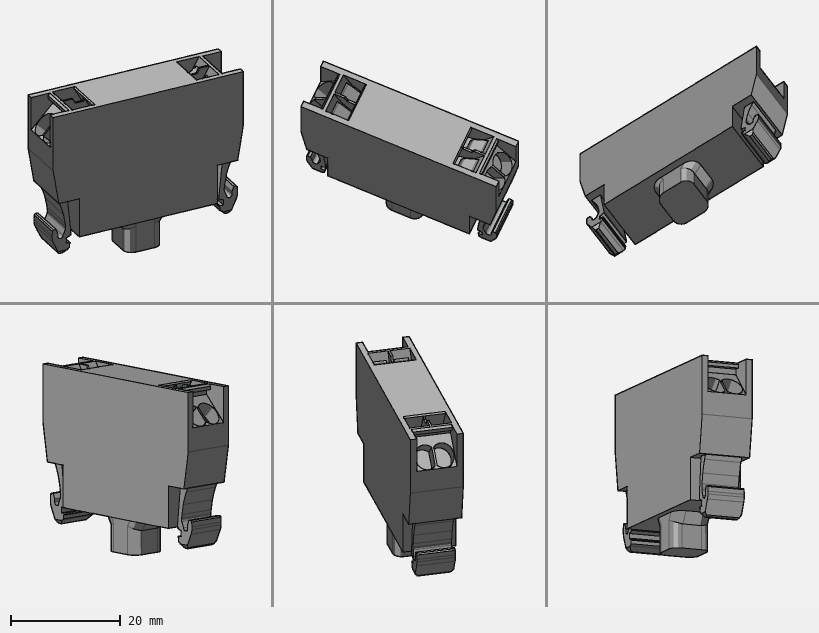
import cadquery as cq
import math


LENGTH = 39.0
WIDTH = 10.0
HEIGHT = 25.9
END_FACE_HEIGHT = 11.0
SHOULDER_Z = 7.88
SHOULDER_HALF_LENGTH = 18.33
LOWER_HALF_LENGTH = 14.15

FOOT_WIDTH = 7.5
FOOT_LENGTH = 7.35
FOOT_DEPTH = 6.7
FOOT_EDGE_RADIUS = 1.8
FLARE_DEPTH = 2.22
FLARE_ANGLE = 30.0
FLARE_EDGE_RADIUS = 2.0

RIB = 0.4
ENTRY_WIDTH = 7.55
ENTRY_DEPTH = 6.65
ENTRY_INSET = 3.85
LIP_BEVEL = 0.4
LIP_HEIGHT = 1.0
UNDERCUT_INSET = 4.6
WIRE_HOLE_HALF_WIDTH = 2.05
WIRE_HOLE_HALF_LENGTH = 2.38
WIRE_HOLE_X = 1.6
WIRE_HOLE_INSET = 1.7
WIRE_HOLE_DEPTH = 3.0

POCKET_PAIR_WIDTH = 7.88
POCKET_OUTER_INSET = 4.5
POCKET_WALL_FOOT_INSET = 6.12
POCKET_LEDGE_END_INSET = 8.3
POCKET_INNER_INSET = 8.8
POCKET_BEVEL = 0.27
POCKET_FLOOR_END_INSET = 11.85
POCKET_WALL_TILT = 59.5
LEDGE_TILT = 38.0
POCKET_FLOOR_TILT = 18.0
LEVER_WIDTH = 2.7
LEVER_START_INSET = 5.35
LEVER_TOP_INSET = 5.65
LEVER_NOSE_INSET = 8.58
LEVER_TIP_INSET = 9.15
LEVER_START_TILT = 30.0
LEVER_NOSE_TILT = 52.0
LEVER_TIP_TILT = 62.0
RIB_STEP_INSET = 6.5
RIB_STEP_LENGTH = 0.55
RIB_STEP_DEPTH = 0.98

LATCH_WIDTH = 7.25
LATCH_TIP_Z = -3.6
TIP_BEVEL_HEIGHT = 0.78
TIP_BEVEL_INSET = 0.55

HALF_LENGTH = LENGTH / 2


def prism(points, width, x_center=0.0):
    """Extrude a closed (Y, Z) outline along X, centred on x_center."""
    sketch = cq.Workplane("YZ", origin=(x_center, 0, 0)).polyline(points).close()
    return sketch.extrude(width / 2, both=True)


def end_point(inset, depth):
    """(Y, Z) of a point at an inset from the +Y end and a depth below the top."""
    return (HALF_LENGTH - inset, HEIGHT - depth)


def slope_drop(run, tilt):
    return run * math.tan(math.radians(tilt))


def both_ends(solid):
    return solid.union(solid.mirror("XZ"))


def make_housing():
    half_outline = [
        (LOWER_HALF_LENGTH, 0),
        (LOWER_HALF_LENGTH, SHOULDER_Z),
        (SHOULDER_HALF_LENGTH, SHOULDER_Z),
        (HALF_LENGTH, HEIGHT - END_FACE_HEIGHT),
        (HALF_LENGTH, HEIGHT),
    ]
    mirrored = [(-y, z) for y, z in reversed(half_outline)]
    return prism(half_outline + mirrored, WIDTH)


def make_foot():
    post = cq.Workplane("XY").rect(FOOT_WIDTH, FOOT_LENGTH).extrude(-FOOT_DEPTH)
    post = post.edges("|Z").fillet(FOOT_EDGE_RADIUS)
    bottom_y = FOOT_LENGTH / 2
    top_y = bottom_y + FLARE_DEPTH * math.tan(math.radians(FLARE_ANGLE))
    flare_outline = [(-bottom_y, -FLARE_DEPTH), (bottom_y, -FLARE_DEPTH), (top_y, 0), (-top_y, 0)]
    flare = prism(flare_outline, FOOT_WIDTH)
    flare = flare.faces("<Y or >Y").edges("not |X").fillet(FLARE_EDGE_RADIUS)
    return post.union(flare)


def make_wire_entry():
    """Cutter for the sloped entry at the +Y end with its two wire holes."""
    lip_inset = ENTRY_INSET - LIP_BEVEL
    outline = [
        end_point(0, 0),
        end_point(ENTRY_INSET, 0),
        end_point(lip_inset, LIP_BEVEL),
        end_point(lip_inset, LIP_HEIGHT),
        end_point(UNDERCUT_INSET, LIP_HEIGHT),
        end_point(UNDERCUT_INSET, ENTRY_DEPTH - UNDERCUT_INSET),
        end_point(0, ENTRY_DEPTH),
    ]
    entry = prism(outline, ENTRY_WIDTH)

    hole_y, hole_z = end_point(WIRE_HOLE_INSET, ENTRY_DEPTH - WIRE_HOLE_INSET)
    slot_width = (ENTRY_WIDTH - RIB) / 2
    for side in (-1, 1):
        mouth = cq.Plane(origin=(side * WIRE_HOLE_X, hole_y, hole_z), xDir=(1, 0, 0), normal=(0, -1, -1))
        oval = cq.Workplane(mouth).ellipse(WIRE_HOLE_HALF_WIDTH, WIRE_HOLE_HALF_LENGTH)
        hole = oval.extrude(WIRE_HOLE_DEPTH)
        slot_x = side * (RIB + slot_width) / 2
        slot = cq.Workplane("XY").box(slot_width, LENGTH, HEIGHT).translate((slot_x, hole_y, hole_z))
        entry = entry.union(hole.intersect(slot))
    return entry


def make_lever_pockets():
    """Cutter for the pair of pockets near the +Y end, leaving the levers and the stepped rib."""
    foot_depth = slope_drop(POCKET_WALL_FOOT_INSET - POCKET_OUTER_INSET, POCKET_WALL_TILT)
    ledge_depth = foot_depth + slope_drop(POCKET_LEDGE_END_INSET - POCKET_WALL_FOOT_INSET, LEDGE_TILT)
    floor_length = POCKET_FLOOR_END_INSET - POCKET_LEDGE_END_INSET
    floor_depth = ledge_depth + slope_drop(floor_length, POCKET_FLOOR_TILT)
    pockets = prism([
        end_point(POCKET_OUTER_INSET, 0),
        end_point(POCKET_WALL_FOOT_INSET, foot_depth),
        end_point(POCKET_LEDGE_END_INSET, ledge_depth),
        end_point(POCKET_FLOOR_END_INSET, floor_depth),
        end_point(POCKET_INNER_INSET, POCKET_BEVEL),
        end_point(POCKET_INNER_INSET + POCKET_BEVEL, 0),
    ], POCKET_PAIR_WIDTH)

    start_depth = slope_drop(LEVER_START_INSET - POCKET_OUTER_INSET, POCKET_WALL_TILT)
    top_depth = start_depth + slope_drop(LEVER_TOP_INSET - LEVER_START_INSET, LEVER_START_TILT)
    bend_depth = top_depth + slope_drop(POCKET_LEDGE_END_INSET - LEVER_TOP_INSET, LEDGE_TILT)
    nose_depth = bend_depth + slope_drop(LEVER_NOSE_INSET - POCKET_LEDGE_END_INSET, LEVER_NOSE_TILT)
    tip_depth = nose_depth + slope_drop(LEVER_TIP_INSET - LEVER_NOSE_INSET, LEVER_TIP_TILT)
    lever_outline = [
        end_point(LEVER_START_INSET, start_depth),
        end_point(LEVER_TOP_INSET, top_depth),
        end_point(POCKET_LEDGE_END_INSET, bend_depth),
        end_point(LEVER_NOSE_INSET, nose_depth),
        end_point(LEVER_TIP_INSET, tip_depth),
        end_point(LEVER_START_INSET, tip_depth),
    ]
    lever_x = (POCKET_PAIR_WIDTH + RIB) / 4
    for side in (-1, 1):
        pockets = pockets.cut(prism(lever_outline, LEVER_WIDTH, side * lever_x))

    rib = prism([
        end_point(POCKET_OUTER_INSET, 0),
        end_point(RIB_STEP_INSET, 0),
        end_point(RIB_STEP_INSET + RIB_STEP_LENGTH, RIB_STEP_DEPTH),
        end_point(POCKET_INNER_INSET, RIB_STEP_DEPTH),
        end_point(POCKET_INNER_INSET, POCKET_BEVEL),
        end_point(POCKET_FLOOR_END_INSET, POCKET_BEVEL),
        end_point(POCKET_FLOOR_END_INSET, floor_depth),
        end_point(POCKET_OUTER_INSET, floor_depth),
    ], RIB)
    return pockets.cut(rib)


def make_latch():
    """Springy hook hanging below the +Y overhang, drawn in (Y, Z)."""
    latch = (
        cq.Workplane("YZ")
        .moveTo(15.9, SHOULDER_Z)
        .lineTo(17.9, SHOULDER_Z)
        .lineTo(17.5, 7.02)
        .threePointArc((17.05, 5.8), (16.7, 4.6))
        .lineTo(16.35, 2.7)
        .tangentArcPoint((16.25, 1.95), relative=False)
        .lineTo(16.25, 1.68)
        .tangentArcPoint((16.3, 1.4), relative=False)
        .lineTo(16.77, 0.3)
        .threePointArc((17.3, -0.2), (17.82, 0.3))
        .lineTo(17.85, 0.98)
        .lineTo(18.2, 1.9)
        .lineTo(18.72, 1.9)
        .lineTo(18.95, 1.68)
        .lineTo(19.0, 0.78)
        .lineTo(19.0, 0.27)
        .tangentArcPoint((18.8, -0.62), relative=False)
        .lineTo(17.55, -3.3)
        .lineTo(17.28, LATCH_TIP_Z)
        .lineTo(16.65, LATCH_TIP_Z)
        .lineTo(15.85, -2.73)
        .lineTo(15.4, -2.4)
        .lineTo(15.4, -1.75)
        .lineTo(15.25, -1.6)
        .lineTo(15.4, -1.4)
        .lineTo(16.05, -1.4)
        .lineTo(16.05, -0.4)
        .lineTo(15.17, 0.05)
        .lineTo(15.17, 0.75)
        .close()
        .extrude(LATCH_WIDTH / 2, both=True)
    )
    half_width = LATCH_WIDTH / 2
    bevel_z = LATCH_TIP_Z + TIP_BEVEL_HEIGHT
    tip_half_width = half_width - TIP_BEVEL_INSET
    envelope = (
        cq.Workplane("XZ")
        .polyline([
            (-half_width, SHOULDER_Z),
            (half_width, SHOULDER_Z),
            (half_width, bevel_z),
            (tip_half_width, LATCH_TIP_Z),
            (-tip_half_width, LATCH_TIP_Z),
            (-half_width, bevel_z),
        ])
        .close()
        .extrude(-LENGTH)
    )
    return latch.intersect(envelope)


result = (
    make_housing()
    .union(make_foot())
    .union(both_ends(make_latch()))
    .cut(both_ends(make_wire_entry()))
    .cut(both_ends(make_lever_pockets()))
)